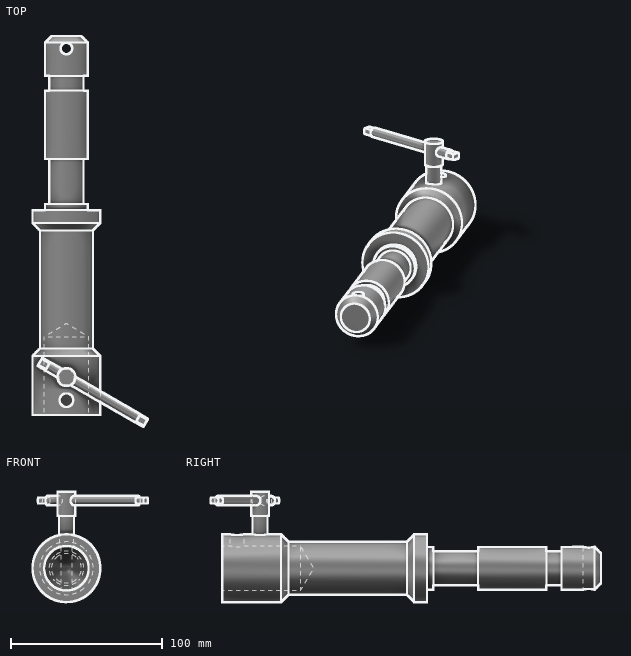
import cadquery as cq

body_length = 250.0
flange_radius = 22.5
barrel_radius = 17.5
spigot_radius = 14.2
neck_radius = 11.4
head_length = 39.0
collar_start = 126.7
collar_end = 135.2
step_end = 139.3
long_land_start = 168.8
long_land_end = 214.0
end_land_start = 223.7
flange_taper = flange_radius - barrel_radius
tip_chamfer = 4.5

socket_radius = 14.7
socket_depth = 51.5
socket_cone_length = 8.8

pin_hole_diameter = 7.5
pin_hole_position = 241.8
screw_hole_diameter = 9.0
screw_hole_position = 9.8

screw_position = 25.0
screw_stem_diameter = 10.0
screw_head_diameter = 11.9
screw_head_bottom = 34.5
screw_top = 50.5

bar_height = 44.6
bar_diameter = 6.5
bar_angle = -30
bar_short_reach = 20.0
bar_long_reach = 60.5
bar_tip_length = 6.0
bar_tip_thickness = 4.0
bar_tip_diameter = 6.2


def make_body():
    profile = [
        (0, 0),
        (flange_radius, 0),
        (flange_radius, head_length),
        (barrel_radius, head_length + flange_taper),
        (barrel_radius, collar_start - flange_taper),
        (flange_radius, collar_start),
        (flange_radius, collar_end),
        (spigot_radius, collar_end),
        (spigot_radius, step_end),
        (neck_radius, step_end),
        (neck_radius, long_land_start),
        (spigot_radius, long_land_start),
        (spigot_radius, long_land_end),
        (neck_radius, long_land_end),
        (neck_radius, end_land_start),
        (spigot_radius, end_land_start),
        (spigot_radius, body_length - tip_chamfer),
        (spigot_radius - tip_chamfer, body_length),
        (0, body_length),
    ]
    return cq.Workplane("XY").polyline(profile).close().revolve(360, (0, 0, 0), (0, 1, 0))


def make_socket():
    profile = [
        (0, 0),
        (socket_radius, 0),
        (socket_radius, socket_depth),
        (0, socket_depth + socket_cone_length),
    ]
    return cq.Workplane("XY").polyline(profile).close().revolve(360, (0, 0, 0), (0, 1, 0))


def upright_cylinder(position, diameter, bottom, top):
    """Cylinder along Z, centred on the body axis at the given Y position."""
    return (
        cq.Workplane("XY", origin=(0, position, bottom))
        .circle(diameter / 2)
        .extrude(top - bottom)
    )


def make_screw():
    stem_bottom = (socket_radius + flange_radius) / 2
    stem = upright_cylinder(screw_position, screw_stem_diameter, stem_bottom, screw_head_bottom)
    head = upright_cylinder(screw_position, screw_head_diameter, screw_head_bottom, screw_top)
    return stem.union(head)


def bar_cylinder(diameter, start, end):
    """Cylinder along X between two distances from the screw axis."""
    return cq.Workplane("YZ", origin=(start, 0, 0)).circle(diameter / 2).extrude(end - start)


def make_bar():
    """Round bar with flats above and below each tip, turned about the screw axis."""
    shank = bar_cylinder(bar_diameter, bar_tip_length - bar_short_reach, bar_long_reach - bar_tip_length)
    tips = bar_cylinder(bar_tip_diameter, -bar_short_reach, bar_long_reach)
    flats = (
        cq.Workplane("XY")
        .box(bar_short_reach + bar_long_reach, bar_diameter, bar_tip_thickness)
        .translate(((bar_long_reach - bar_short_reach) / 2, 0, 0))
    )
    bar = shank.union(tips.intersect(flats))
    return bar.rotate((0, 0, 0), (0, 0, 1), bar_angle).translate((0, screw_position, bar_height))


pin_hole = upright_cylinder(pin_hole_position, pin_hole_diameter, -flange_radius, flange_radius)
screw_hole = upright_cylinder(screw_hole_position, screw_hole_diameter, 0, flange_radius)

result = (
    make_body()
    .cut(make_socket())
    .cut(pin_hole)
    .cut(screw_hole)
    .union(make_screw())
    .union(make_bar())
)